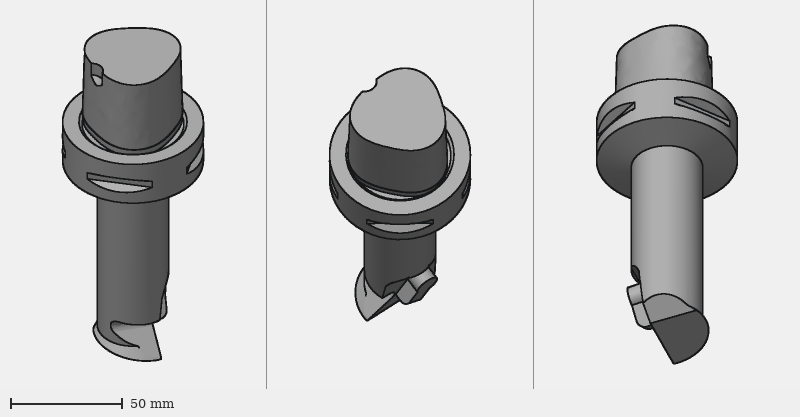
import cadquery as cq
import math

TOTAL_HEIGHT = 158.0
FLANGE_TOP = 120.1
FLANGE_BOTTOM = 98.3
CONE_BOTTOM = 94.3

FLANGE_RADIUS = 63.0 / 2
BAR_RADIUS = 32.0 / 2
LIP_TOP = 5.8
LIP_RADIUS = BAR_RADIUS + LIP_TOP

LOBE_HEIGHT = 3.3 / 2
SHANK_TOP_RADIUS = 21.0
SHANK_BASE_RADIUS = 22.0
NECK_RADIUS = 21.8
SHANK_BASE = 122.1
RIM_HEIGHT = 0.8
OUTLINE_POINTS = 24

RECESS_OUTER_RADIUS = 24.2
RECESS_INNER_RADIUS = 22.8
RECESS_DEPTH = RECESS_OUTER_RADIUS - RECESS_INNER_RADIUS

NOTCH_RADIUS = 5.4
NOTCH_CENTRE_Y = -22.3
NOTCH_FLOOR = 151.5

SLOT_COUNT = 4
SLOT_Z = 107.9
SLOT_FLOOR_DISTANCE = 27.8
SLOT_FLOOR_HALF = 3.3 / 2
SLOT_MOUTH_HALF = 7.7 / 2

GULLET_RADIUS = 3.8
GULLET_X = 9.0
GULLET_Z = 14.9
GULLET_Y = -14.5
GULLET_FLANK_ANGLE = math.radians(37.4)
GULLET_LEAN = 0.2

CHAMFER_START_Z = 10.1
CHAMFER_ANGLE = math.radians(42)
END_HEIGHT = 1.7
END_SLOPE_X = -0.08
END_SLOPE_Y = -0.1

SEAT_TURN = -10
SEAT_PIVOT_X = -7.1
SEAT_PIVOT_Y = 6.3
SEAT_TOP_Y = 9.6
SEAT_TOP_Z = 27.6
SEAT_ANGLE = math.radians(7.1)
RUNOUT_MID_Y = 12.0
RUNOUT_MID_Z = 32.4
RUNOUT_TOP_Z = 36.7

CLAMP_THICKNESS = 7.7
HEAD_RADIUS = 5.4
HEAD_X = -3.2
HEAD_Z = 22.0
ARM_WIDTH = 7.9
ARM_LENGTH = 15.0
ARM_ANGLE = 60
ARM_TIP_ROUND = 4.0

CLEARANCE = 31.6


def lobed_wire(mean_radius, z):
    """Closed three-lobed outline with one lobe towards +Y."""
    points = []
    for i in range(OUTLINE_POINTS):
        angle = 2 * math.pi * i / OUTLINE_POINTS
        radius = mean_radius - LOBE_HEIGHT * math.sin(3 * angle)
        points.append(cq.Vector(radius * math.cos(angle), radius * math.sin(angle), z))
    return cq.Wire.assembleEdges([cq.Edge.makeSpline(points, periodic=True)])


def lobed_section(lower_radius, lower_z, upper_radius, upper_z):
    return cq.Solid.makeLoft([lobed_wire(lower_radius, lower_z), lobed_wire(upper_radius, upper_z)], True)


def turned_body():
    """Bar, flange and lip, revolved about Z."""
    return (
        cq.Workplane("XZ")
        .moveTo(0, 0)
        .lineTo(LIP_RADIUS, 0)
        .lineTo(BAR_RADIUS, LIP_TOP)
        .lineTo(BAR_RADIUS, CONE_BOTTOM)
        .lineTo(FLANGE_RADIUS, FLANGE_BOTTOM)
        .lineTo(FLANGE_RADIUS, FLANGE_TOP)
        .lineTo(RECESS_OUTER_RADIUS, FLANGE_TOP)
        .lineTo(RECESS_INNER_RADIUS, FLANGE_TOP - RECESS_DEPTH)
        .lineTo(0, FLANGE_TOP - RECESS_DEPTH)
        .close()
        .revolve(360, (0, 0, 0), (0, 1, 0))
    )


def shank():
    rim_top = SHANK_BASE + RIM_HEIGHT
    neck = lobed_section(NECK_RADIUS, FLANGE_TOP - RECESS_DEPTH, NECK_RADIUS, SHANK_BASE)
    rim = lobed_section(SHANK_BASE_RADIUS, SHANK_BASE, SHANK_BASE_RADIUS, rim_top)
    taper = lobed_section(SHANK_BASE_RADIUS, rim_top, SHANK_TOP_RADIUS, TOTAL_HEIGHT)
    return cq.Workplane(obj=neck).union(cq.Workplane(obj=rim)).union(cq.Workplane(obj=taper))


def notch_cutter():
    """Drilled hole with a 45 degree point."""
    return (
        cq.Workplane("XZ", origin=(0, NOTCH_CENTRE_Y, 0))
        .moveTo(0, TOTAL_HEIGHT)
        .lineTo(NOTCH_RADIUS, TOTAL_HEIGHT)
        .lineTo(NOTCH_RADIUS, NOTCH_FLOOR)
        .lineTo(0, NOTCH_FLOOR - NOTCH_RADIUS)
        .close()
        .revolve(360, (0, 0, 0), (0, 1, 0))
    )


def slot_cutter(angle):
    """Flat-floored slot with sloping sides, facing the given direction."""
    side_slope = (SLOT_MOUTH_HALF - SLOT_FLOOR_HALF) / (FLANGE_RADIUS - SLOT_FLOOR_DISTANCE)
    outer = FLANGE_RADIUS + CLEARANCE
    outer_half = SLOT_FLOOR_HALF + side_slope * (outer - SLOT_FLOOR_DISTANCE)
    half_length = math.sqrt(FLANGE_RADIUS**2 - SLOT_FLOOR_DISTANCE**2)
    return (
        cq.Workplane("XZ")
        .moveTo(SLOT_FLOOR_DISTANCE, SLOT_Z - SLOT_FLOOR_HALF)
        .lineTo(outer, SLOT_Z - outer_half)
        .lineTo(outer, SLOT_Z + outer_half)
        .lineTo(SLOT_FLOOR_DISTANCE, SLOT_Z + SLOT_FLOOR_HALF)
        .close()
        .extrude(half_length, both=True)
        .rotate((0, 0, 0), (0, 0, 1), angle)
    )


def gullet_cutter():
    along_x = math.cos(GULLET_FLANK_ANGLE)
    along_z = -math.sin(GULLET_FLANK_ANGLE)
    lean = cq.Vector(GULLET_LEAN * along_x, 1, GULLET_LEAN * along_z)
    start_y = -CLEARANCE
    centre = cq.Vector(GULLET_X, GULLET_Y, GULLET_Z) + lean * (start_y - GULLET_Y)

    def at(x, z):
        return cq.Vector(centre.x + x, start_y, centre.z + z)

    top = at(0, GULLET_RADIUS)
    left = at(-GULLET_RADIUS, 0)
    low_x = GULLET_RADIUS * along_z
    low_z = -GULLET_RADIUS * along_x
    low = at(low_x, low_z)
    reach = 2 * CLEARANCE
    far_low = at(low_x + reach * along_x, low_z + reach * along_z)
    far_top = at(low_x + reach * along_x, GULLET_RADIUS)
    outline = cq.Wire.assembleEdges([
        cq.Edge.makeThreePointArc(top, left, low),
        cq.Edge.makeLine(low, far_low),
        cq.Edge.makeLine(far_low, far_top),
        cq.Edge.makeLine(far_top, top),
    ])
    return cq.Workplane(obj=cq.Solid.extrudeLinear(outline, [], lean * (2 * CLEARANCE)))


def chamfer_cutter():
    """Wedge below the slanting corner on the -X side."""
    drop = CLEARANCE * math.tan(CHAMFER_ANGLE)
    outer_x = -BAR_RADIUS - CLEARANCE
    return (
        cq.Workplane("XZ")
        .moveTo(outer_x, CHAMFER_START_Z + drop)
        .lineTo(-BAR_RADIUS + CLEARANCE, CHAMFER_START_Z - drop)
        .lineTo(outer_x, CHAMFER_START_Z - drop)
        .close()
        .extrude(CLEARANCE, both=True)
    )


def end_cutter():
    """Half-space below the tilted end face."""
    normal = (END_SLOPE_X, END_SLOPE_Y, -1)
    plane = cq.Plane(origin=(0, 0, END_HEIGHT), xDir=(1, 0, END_SLOPE_X), normal=normal)
    return cq.Workplane(plane).rect(4 * CLEARANCE, 4 * CLEARANCE).extrude(CLEARANCE)


def turn_to_tip(shape):
    pivot = (SEAT_PIVOT_X, SEAT_PIVOT_Y)
    return shape.rotate((*pivot, 0), (*pivot, 1), SEAT_TURN)


def seat_cutter():
    below = -CLEARANCE
    seat_low_y = SEAT_TOP_Y - (SEAT_TOP_Z - below) * math.tan(SEAT_ANGLE)
    cutter = (
        cq.Workplane("YZ")
        .moveTo(seat_low_y, below)
        .lineTo(SEAT_TOP_Y, SEAT_TOP_Z)
        .threePointArc((RUNOUT_MID_Y, RUNOUT_MID_Z), (BAR_RADIUS, RUNOUT_TOP_Z))
        .lineTo(CLEARANCE, RUNOUT_TOP_Z)
        .lineTo(CLEARANCE, below)
        .close()
        .extrude(CLEARANCE, both=True)
    )
    return turn_to_tip(cutter)


def make_holder():
    holder = turned_body().cut(gullet_cutter()).cut(end_cutter()).cut(chamfer_cutter()).cut(seat_cutter())
    holder = holder.union(shank()).cut(notch_cutter())
    for i in range(SLOT_COUNT):
        holder = holder.cut(slot_cutter(45 + i * 360 / SLOT_COUNT))
    return holder


def make_clamp():
    """Round head with an arm running down the seat towards the tip."""
    seat_y = SEAT_TOP_Y - (SEAT_TOP_Z - HEAD_Z) * math.tan(SEAT_ANGLE)
    seat_plane = cq.Plane(
        origin=(HEAD_X, seat_y, HEAD_Z),
        xDir=(-1, 0, 0),
        normal=(0, math.cos(SEAT_ANGLE), -math.sin(SEAT_ANGLE)),
    )
    head = cq.Workplane(seat_plane).circle(HEAD_RADIUS).extrude(CLAMP_THICKNESS)
    arm = (
        cq.Workplane("XY")
        .center(ARM_LENGTH / 2, 0)
        .rect(ARM_LENGTH, ARM_WIDTH)
        .extrude(CLAMP_THICKNESS)
        .edges(">X and >Z")
        .fillet(ARM_TIP_ROUND)
        .rotate((0, 0, 0), (0, 0, 1), 180 + ARM_ANGLE)
    )
    arm = cq.Workplane(obj=arm.val().moved(cq.Location(seat_plane)))
    return turn_to_tip(head.union(arm))


holder = make_holder()
clamp = make_clamp()
result = cq.Compound.makeCompound([holder.solids().val(), clamp.solids().val()])